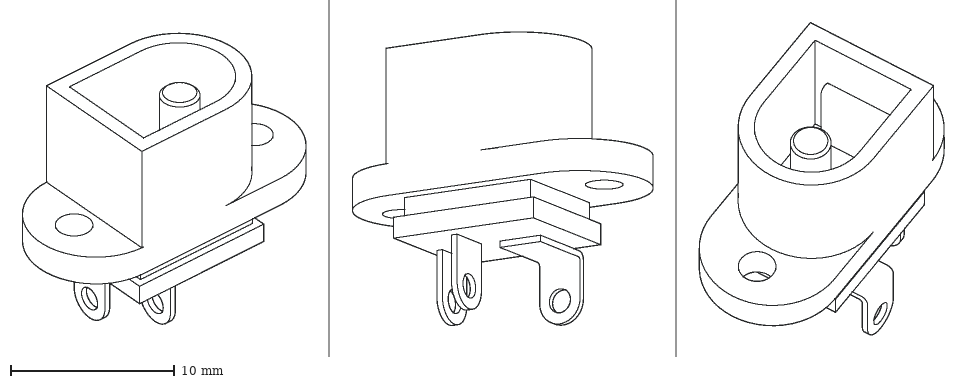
import cadquery as cq

flange_length = 20.0
flange_width = 9.0
flange_thickness = 2.02
mount_hole_diameter = 2.3
mount_hole_spacing = 14.5

housing_length = 11.28
housing_top = 9.3
wall = 1.0
floor_height = 1.0
arc_center_y = housing_length / 2 - flange_width / 2

pin_y = 1.25
pin_diameter = 2.5
pin_top = 8.05
pin_chamfer = 0.2

base_y = -0.4
neck_width = 7.0
neck_length = 9.0
neck_height = 1.28
plate_width = 8.0
plate_length = 10.0
plate_bottom = -2.6

tab_width = 2.9
tab_thickness = 0.4
tab_bottom = -7.0
tab_hole_diameter = 1.5
tab_overlap = 0.2
middle_tab_y = -1.75
front_tab_y = -4.55
tab_pair_x = -0.05
side_tab_outer_x = -5.1
bend_outer_radius = 0.48
bend_inner_radius = 0.25

spring_width = 5.0
spring_depth = 0.88
spring_top = 6.0


def d_prism(width, length, bottom, top):
    """D-shaped prism around the housing arc centre; length spans arc tip to flat side."""
    radius = width / 2
    flat_y = arc_center_y + radius - length
    return (
        cq.Workplane("XY", origin=(0, 0, bottom))
        .moveTo(-radius, flat_y)
        .lineTo(radius, flat_y)
        .lineTo(radius, arc_center_y)
        .threePointArc((0, arc_center_y + radius), (-radius, arc_center_y))
        .close()
        .extrude(top - bottom)
    )


def base_block(width, length, bottom, top):
    return (
        cq.Workplane("XY", origin=(0, base_y, bottom))
        .rect(width, length)
        .extrude(top - bottom)
    )


def solder_tab(top):
    """Round-ended tab with an eyelet, centred on X = 0 and on Y = 0."""
    radius = tab_width / 2
    eye_z = tab_bottom + radius
    return (
        cq.Workplane("XZ")
        .moveTo(-radius, top)
        .lineTo(-radius, eye_z)
        .threePointArc((0, tab_bottom), (radius, eye_z))
        .lineTo(radius, top)
        .close()
        .moveTo(0, eye_z)
        .circle(tab_hole_diameter / 2)
        .extrude(tab_thickness / 2, both=True)
    )


def corner_selector(x, z):
    """Selects the bend edge that runs along Y at the given X and Z."""
    reach = 0.02
    return cq.selectors.BoxSelector(
        (x - reach, pin_y - reach, z - reach),
        (x + reach, pin_y + reach, z + reach),
    )


def side_tab():
    """Tab that runs flat under the plate to the pin axis and bends down at its outer end."""
    outer_x = side_tab_outer_x
    upright = (
        solder_tab(plate_bottom)
        .rotate((0, 0, 0), (0, 0, 1), 90)
        .translate((outer_x + tab_thickness / 2, pin_y, 0))
    )
    strip = (
        cq.Workplane("XY")
        .box(-outer_x, tab_width, tab_thickness, centered=(False, True, False))
        .translate((outer_x, pin_y, plate_bottom - tab_thickness))
    )
    inner_x = outer_x + tab_thickness
    inner_z = plate_bottom - tab_thickness
    inner_corner = corner_selector(inner_x, inner_z)
    outer_corner = corner_selector(outer_x, plate_bottom)
    bent = upright.union(strip).clean()
    bent = bent.edges(outer_corner).fillet(bend_outer_radius)
    return bent.edges(inner_corner).fillet(bend_inner_radius)


flange = cq.Workplane("XY").slot2D(flange_length, flange_width, 90).extrude(flange_thickness)
housing = d_prism(flange_width, housing_length, flange_thickness, housing_top)
cavity = d_prism(flange_width - 2 * wall, housing_length - 2 * wall, floor_height, housing_top)
mount_holes = (
    cq.Workplane("XY")
    .rarray(0.2, mount_hole_spacing, 1, 2)
    .circle(mount_hole_diameter / 2)
    .extrude(flange_thickness)
)
body = flange.union(housing).cut(cavity).cut(mount_holes)

body = body.union(base_block(neck_width, neck_length, plate_bottom, 0))
body = body.union(base_block(plate_width, plate_length, plate_bottom, -neck_height))

pin = (
    cq.Workplane("XY", origin=(0, pin_y, floor_height))
    .circle(pin_diameter / 2)
    .extrude(pin_top - floor_height)
    .faces(">Z")
    .chamfer(pin_chamfer)
)

spring_shoulder = spring_top - spring_depth / 2
wall_face_y = wall - housing_length / 2
spring = (
    cq.Workplane("YZ")
    .moveTo(wall_face_y, floor_height)
    .lineTo(wall_face_y + spring_depth, floor_height)
    .lineTo(wall_face_y + spring_depth, spring_shoulder)
    .threePointArc((wall_face_y + spring_depth / 2, spring_top), (wall_face_y, spring_shoulder))
    .close()
    .extrude(spring_width / 2, both=True)
)

straight_tab = solder_tab(plate_bottom + tab_overlap)
front_tab = straight_tab.translate((tab_pair_x - tab_width / 2, front_tab_y, 0))
middle_tab = straight_tab.translate((tab_pair_x + tab_width / 2, middle_tab_y, 0))

result = body.union(pin).union(spring).union(front_tab).union(middle_tab).union(side_tab())